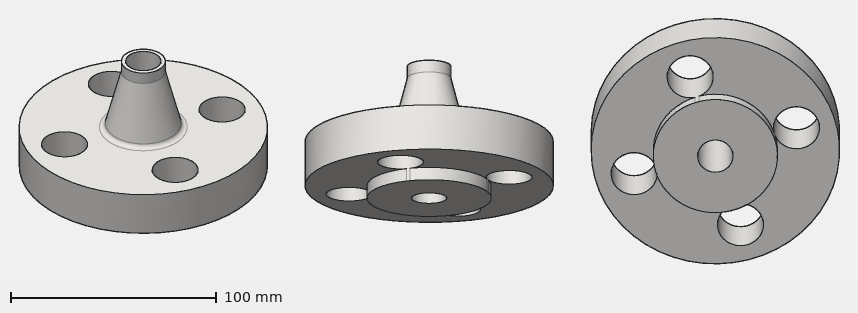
import cadquery as cq

flange_diameter = 120.6
flange_thickness = 22.4

face_diameter = 60.3
face_height = 6.3

overall_height = 66.8
neck_diameter = 21.3
neck_length = 6.0
hub_base_diameter = 38.1
hub_fillet_radius = 2.9

bore_diameter = 17.1
bolt_hole_diameter = 22.3
bolt_circle_diameter = 82.5
bolt_count = 4

plate_bottom = face_height
plate_top = plate_bottom + flange_thickness
neck_bottom = overall_height - neck_length


def make_plate():
    """Round plate with the raised face beneath it."""
    face = cq.Workplane("XY").circle(face_diameter / 2).extrude(face_height)
    plate = (
        cq.Workplane("XY", origin=(0, 0, plate_bottom))
        .circle(flange_diameter / 2)
        .extrude(flange_thickness)
    )
    return plate.union(face)


def make_hub():
    """Cone narrowing up to the straight neck, as one revolved profile."""
    return (
        cq.Workplane("XZ")
        .moveTo(0, plate_top)
        .lineTo(hub_base_diameter / 2, plate_top)
        .lineTo(neck_diameter / 2, neck_bottom)
        .lineTo(neck_diameter / 2, overall_height)
        .lineTo(0, overall_height)
        .close()
        .revolve(360, (0, 0, 0), (0, 1, 0))
    )


def fillet_hub_root(body):
    """Round the inside corner where the hub meets the plate."""
    hub_reach = hub_base_diameter / 2 + hub_fillet_radius
    root_zone = cq.selectors.BoxSelector(
        (-hub_reach, -hub_reach, plate_top - hub_fillet_radius),
        (hub_reach, hub_reach, plate_top + hub_fillet_radius),
        boundingbox=True,
    )
    return body.edges(root_zone).fillet(hub_fillet_radius)


def make_bore():
    """Pipe bore running the full height."""
    return cq.Workplane("XY").circle(bore_diameter / 2).extrude(overall_height)


def make_bolt_holes():
    """Bolt holes on the X and Y axes, passing the raised face and just grazing its rim."""
    return (
        cq.Workplane("XY")
        .polarArray(bolt_circle_diameter / 2, 0, 360, bolt_count)
        .circle(bolt_hole_diameter / 2)
        .extrude(plate_top)
    )


body = fillet_hub_root(make_plate().union(make_hub()))
result = body.cut(make_bore()).cut(make_bolt_holes())